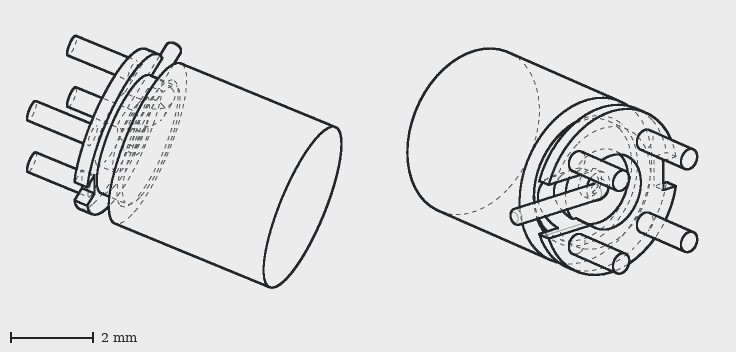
import cadquery as cq


sleeve_radius = 2.1
sleeve_length = 4.2
neck_radius = 1.55
neck_length = 0.6
flange_radius = sleeve_radius
flange_thickness = 0.35
sleeve_face_x = flange_thickness + neck_length
sleeve_end_x = sleeve_face_x + sleeve_length

mouth_radius = 1.65
mouth_depth = 0.1

cavity_radius = 0.95
insulator_radius = 1.04
insulator_face_x = 0.48

slot_width = 1.4
slot_axis_x = 0.21
notch_width = 0.77
notch_bottom_radius = 1.66

ground_pin_radius = 0.26
ground_pin_length = 1.65
ground_pin_pitch = 2.16

contact_radius = 0.2
contact_bend_radius = 0.26
contact_axis_x = 0.25
contact_tip_y = 2.85
contact_tip_fillet = 0.07

well_radius = 0.365
well_depth = 0.3
well_fillet = 0.135


def rod(radius, start_x, end_x):
    """Cylinder on the X axis between two stations."""
    base = cq.Plane(origin=(start_x, 0, 0), xDir=(0, 0, 1), normal=(1, 0, 0))
    return cq.Workplane(base).circle(radius).extrude(end_x - start_x)


def make_spigot():
    """Flange and neck, hollow for the insulator, with the front cavity, the side slot and the key notch."""
    spigot = rod(flange_radius, 0, flange_thickness).union(rod(neck_radius, 0, sleeve_end_x))
    spigot = spigot.cut(rod(cavity_radius, 0, insulator_face_x))
    spigot = spigot.cut(rod(insulator_radius, insulator_face_x, sleeve_end_x))

    slot_straight = cq.Workplane("XY").box(
        slot_axis_x, flange_radius, slot_width, centered=(False, False, True)
    )
    slot_round = (
        cq.Workplane("XZ", origin=(slot_axis_x, 0, 0))
        .circle(slot_width / 2)
        .extrude(-flange_radius)
    )
    notch_depth = flange_radius - notch_bottom_radius
    notch = cq.Workplane("XY", origin=(0, -flange_radius, 0)).box(
        flange_thickness, notch_depth, notch_width, centered=(False, False, True)
    )
    return spigot.cut(slot_straight).cut(slot_round).cut(notch)


def make_sleeve():
    """Outer tube with a chamfered mouth, turned about the X axis."""
    return (
        cq.Workplane("XY")
        .moveTo(sleeve_face_x, mouth_radius)
        .lineTo(sleeve_face_x, sleeve_radius)
        .lineTo(sleeve_end_x, sleeve_radius)
        .lineTo(sleeve_end_x, neck_radius)
        .lineTo(sleeve_face_x + mouth_depth, neck_radius)
        .close()
        .revolve(360, (0, 0, 0), (1, 0, 0))
    )


def make_insulator():
    """Insulator disc with a well whose bottom curves up to the centre contact."""
    well_bottom_x = insulator_face_x + well_depth
    fillet_outer_radius = contact_radius + well_fillet
    well = (
        cq.Workplane("XY")
        .moveTo(insulator_face_x, 0)
        .lineTo(insulator_face_x, well_radius)
        .lineTo(well_bottom_x, well_radius)
        .lineTo(well_bottom_x, fillet_outer_radius)
        .radiusArc((well_bottom_x - well_fillet, contact_radius), well_fillet)
        .lineTo(well_bottom_x - well_fillet, 0)
        .close()
        .revolve(360, (0, 0, 0), (1, 0, 0))
    )
    return rod(insulator_radius, insulator_face_x, sleeve_end_x).cut(well)


def make_ground_pins():
    """Four round pins on a square pattern, standing out of the flange."""
    return (
        cq.Workplane("YZ")
        .rect(ground_pin_pitch, ground_pin_pitch, forConstruction=True)
        .vertices()
        .circle(ground_pin_radius)
        .extrude(-ground_pin_length)
    )


def make_contact():
    """Round wire that leaves along X and bends to +Y, with a rounded tip."""
    path = (
        cq.Workplane("XY")
        .moveTo(contact_axis_x, contact_tip_y)
        .lineTo(contact_axis_x, contact_bend_radius)
        .radiusArc((contact_axis_x + contact_bend_radius, 0), -contact_bend_radius)
        .lineTo(sleeve_face_x, 0)
    )
    wire = (
        cq.Workplane("XZ", origin=(contact_axis_x, contact_tip_y, 0))
        .circle(contact_radius)
        .sweep(path)
    )
    return wire.faces(">Y").edges().fillet(contact_tip_fillet)


result = (
    make_spigot()
    .union(make_sleeve())
    .union(make_insulator())
    .union(make_ground_pins())
    .union(make_contact())
)